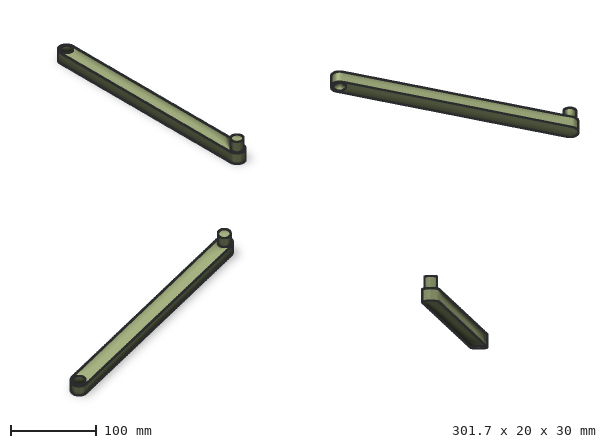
import cadquery as cq

length = 301.7
width = 20.0
total_height = 30.0

bar_height = total_height / 2
pin_diameter = 15.0
hole_diameter = 15.0

end_offset = (length - width) / 2
pin_height = total_height - bar_height


def make_bar():
    """Flat bar with full-round ends, standing on the XY plane."""
    return cq.Workplane("XY").slot2D(length, width).extrude(bar_height)


def make_pin():
    """Round pin rising from the top of the bar at the +X end."""
    return (
        cq.Workplane("XY", origin=(end_offset, 0, bar_height))
        .circle(pin_diameter / 2)
        .extrude(pin_height)
    )


def make_hole():
    """Cutter for the through hole at the -X end."""
    return (
        cq.Workplane("XY", origin=(-end_offset, 0, 0))
        .circle(hole_diameter / 2)
        .extrude(bar_height)
    )


result = make_bar().union(make_pin()).cut(make_hole())